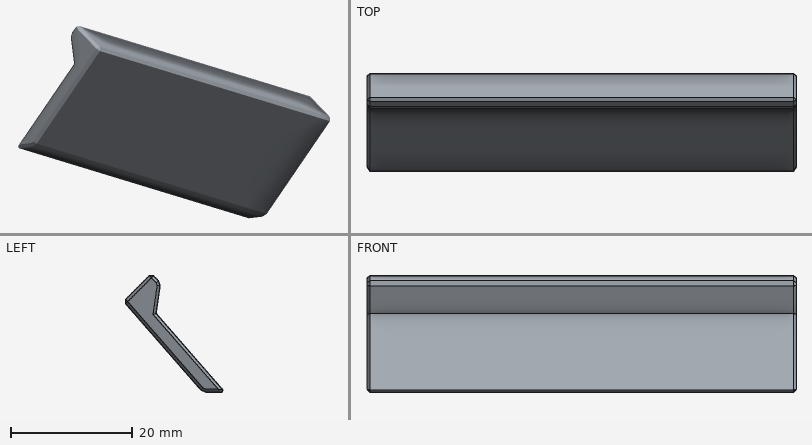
import cadquery as cq
import math

LENGTH = 71.0
DEPTH = 16.12
HEIGHT = 19.26

PLATE_ANGLE = 48.9
FOOT_WIDTH = 3.68

HEAD_ANGLE = 45.0
LIP_WIDTH = 2.17
WALL_OVERHANG = 8.2

EDGE_CHAMFER = 0.5


def step(start, distance, angle):
    """Point a given distance from start, at an angle from +Y in the YZ plane."""
    direction = math.radians(angle)
    return (start[0] + distance * math.cos(direction), start[1] + distance * math.sin(direction))


def meeting_point(first, first_angle, second, second_angle):
    """Point where two lines cross, each given by a point and its angle from +Y."""
    a = math.radians(first_angle)
    b = math.radians(second_angle)
    dy = second[0] - first[0]
    dz = second[1] - first[1]
    distance = (dy * math.sin(b) - dz * math.cos(b)) / math.sin(b - a)
    return step(first, distance, first_angle)


def section_corners():
    """Sharp corners of the YZ section, starting at the front of the foot."""
    plate_trim = EDGE_CHAMFER * math.cos(math.radians(PLATE_ANGLE))
    head_trim = EDGE_CHAMFER * math.sin(math.radians(HEAD_ANGLE))

    toe = (-plate_trim, 0.0)
    heel = (toe[0] + FOOT_WIDTH, 0.0)
    back_run = DEPTH + plate_trim - heel[0]
    back_length = back_run / math.cos(math.radians(PLATE_ANGLE))
    back_edge = step(heel, back_length, PLATE_ANGLE)

    end_rise = HEIGHT + head_trim - back_edge[1]
    end_length = end_rise / math.sin(math.radians(HEAD_ANGLE))
    top_edge = step(back_edge, end_length, 180.0 - HEAD_ANGLE)
    lip_edge = step(top_edge, LIP_WIDTH, 180.0 + HEAD_ANGLE)
    valley = meeting_point(toe, PLATE_ANGLE, lip_edge, WALL_OVERHANG - 90.0)
    return [toe, heel, back_edge, top_edge, lip_edge, valley]


def build_part():
    """Extrude the section along X and chamfer every edge except the inside valley."""
    corners = section_corners()
    valley = corners[-1]
    body = cq.Workplane("YZ").polyline(corners).close().extrude(LENGTH / 2, both=True)
    valley_edge = cq.NearestToPointSelector((0.0, valley[0], valley[1]))
    outer_edges = body.edges(cq.selectors.InverseSelector(valley_edge))
    return outer_edges.chamfer(EDGE_CHAMFER)


result = build_part()